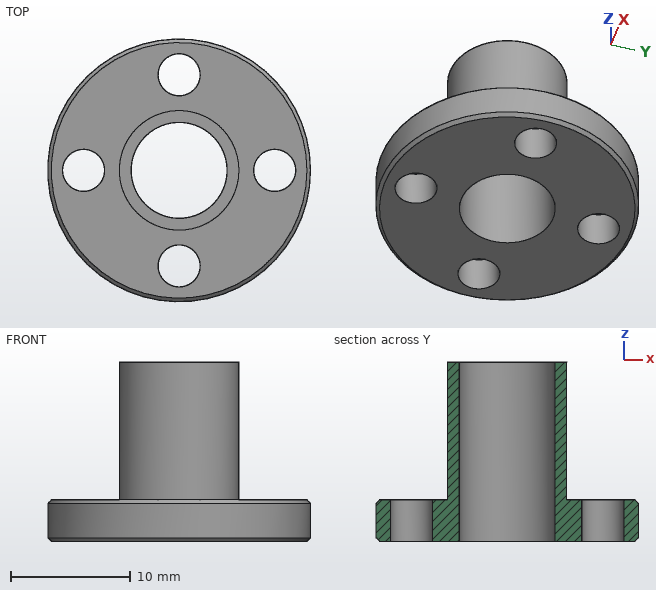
import cadquery as cq

flange_diameter = 22.0
flange_thickness = 3.5
flange_chamfer = 0.3

total_height = 15.0
sleeve_diameter = 10.0
bore_diameter = 8.0

hole_count = 4
hole_diameter = 3.5
hole_circle_diameter = 16.0

flange = (
    cq.Workplane("XY")
    .circle(flange_diameter / 2)
    .extrude(flange_thickness)
    .edges()
    .chamfer(flange_chamfer)
)

sleeve = cq.Workplane("XY").circle(sleeve_diameter / 2).extrude(total_height)

bore = cq.Workplane("XY").circle(bore_diameter / 2).extrude(total_height)

mounting_holes = (
    cq.Workplane("XY")
    .polarArray(hole_circle_diameter / 2, 0, 360, hole_count)
    .circle(hole_diameter / 2)
    .extrude(flange_thickness)
)

result = flange.union(sleeve).cut(bore).cut(mounting_holes)